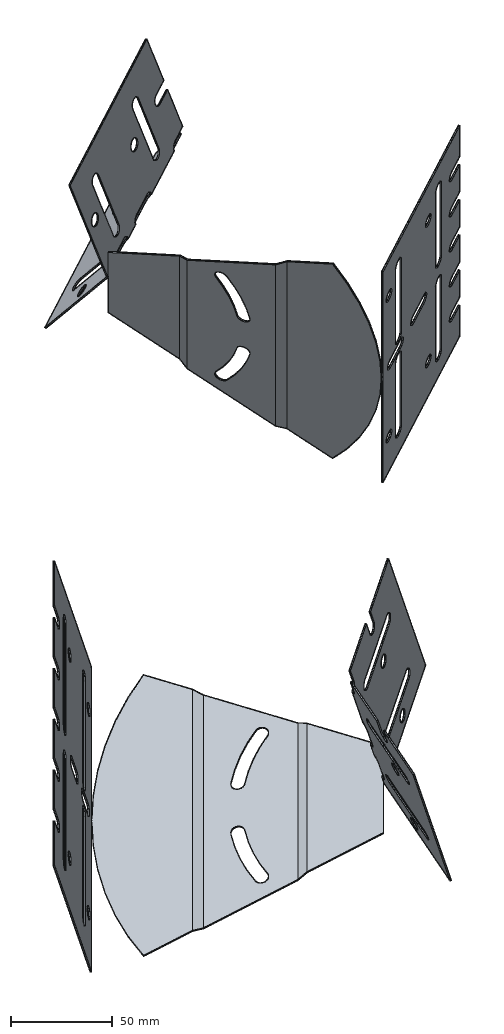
import cadquery as cq
import math


sheet = 0.8
plate_width = 95.7
overall_length = 181.0

hole_diameter = 7.0
column_pitch = 50.0
long_slot_y = 19.4
hole_ys = (7.6, 56.6)
notch_depth = 12.8
cross_slot_length = 19.9
cross_slot_ys = (15.5, 44.7)

plate_height = 180.0
plate_row_pitch = 30.0
plate_notch_rows = 2
plate_long_slot = 70.0
plate_long_slot_offset = 40.0

fold_z = 2.9
wing_length = 70.2
upper_lean = 16.7
lower_lean = 28.1
wing_hole_offset = 35.1
wing_long_slot = 45.0
wing_long_slot_offset = 32.5

fan_z = -1.0
fan_x = 34.0
fan_inner_half = 25.7
fan_rim_half = 83.0
fan_rim_radius = 146.0
fan_slot_radius = 74.7
fan_slot_angles = (11.2, 34.6)
joggle_starts = (72.2, 124.5)
joggle_run = 5.0
fan_flange_front = -0.2
fan_middle_front = -2.5


def slot_cutter(length, y, height, along_height):
    """Round-ended cutter through a sheet lying in the YZ plane at X = 0."""
    angle = 90 if along_height else 0
    return (
        cq.Workplane("YZ").center(y, height)
        .slot2D(length, hole_diameter, angle).extrude(sheet, both=True)
    )


def notch_cutter(height):
    """Rounded notch that opens at the rear edge."""
    return slot_cutter(2 * notch_depth, plate_width, height, False)


def hole_cutters(height):
    """Pair of round holes at one height."""
    return (
        cq.Workplane("YZ").pushPoints([(y, height) for y in hole_ys])
        .circle(hole_diameter / 2).extrude(sheet, both=True)
    )


def long_slot_cutters(length, height):
    """The pair of slots that run up the sheet."""
    first = slot_cutter(length, long_slot_y, height, True)
    return first.add(first.translate((0, column_pitch, 0))).combine()


def cross_row_cutters():
    """Row of cross slots and a notch at height zero."""
    row = notch_cutter(0)
    for y in cross_slot_ys:
        row = row.union(slot_cutter(cross_slot_length, y, 0, False))
    return row


def make_backing_plate():
    plate = cq.Workplane("XY").box(sheet, plate_width, plate_height, centered=(True, False, True))
    plate = plate.cut(cross_row_cutters())
    for side in (-1, 1):
        plate = plate.cut(long_slot_cutters(plate_long_slot, side * plate_long_slot_offset))
        plate = plate.cut(hole_cutters(side * plate_notch_rows * plate_row_pitch))
        for row in range(1, plate_notch_rows + 1):
            plate = plate.cut(notch_cutter(side * row * plate_row_pitch))
    return plate.translate((overall_length - sheet / 2, 0, 0))


def folded_strip():
    """V-shaped sheet with its fold at the origin, without perforations."""
    up = math.radians(90 + upper_lean)
    down = math.radians(270 - lower_lean)
    middle = (up + down) / 2
    corner = sheet / 2 / math.sin((down - up) / 2)

    def tip(angle, turn):
        """End corner of the wing at this angle, on the face that the turn in degrees points to."""
        across = angle + math.radians(turn)
        return (
            wing_length * math.cos(angle) + sheet / 2 * math.cos(across),
            wing_length * math.sin(angle) + sheet / 2 * math.sin(across),
        )

    def fold(side):
        """Outer (-1) or inner (+1) corner of the fold."""
        return (side * corner * math.cos(middle), side * corner * math.sin(middle))

    outline = [tip(up, -90), tip(up, 90), fold(1), tip(down, -90), tip(down, 90), fold(-1)]
    return cq.Workplane("XZ").polyline(outline).close().extrude(-plate_width)


def wing_cutters(side):
    """Perforations of one upright wing, above (+1) or below (-1) the fold."""
    return (
        cross_row_cutters()
        .union(long_slot_cutters(wing_long_slot, side * wing_long_slot_offset))
        .union(hole_cutters(side * wing_hole_offset))
        .union(notch_cutter(side * wing_hole_offset))
    )


def make_hinge():
    hinge = folded_strip()
    for side, turn in ((1, -upper_lean), (-1, lower_lean)):
        hinge = hinge.cut(wing_cutters(side).rotate((0, 0, 0), (0, 1, 0), turn))
    lean = math.radians(lower_lean)
    fold_x = wing_length * math.sin(lean) + sheet / 2 * math.cos(lean)
    return hinge.translate((fold_x, 0, fold_z))


def fan_outline():
    """Fan-shaped block: straight inner edge, two sloping sides and an arc rim."""
    rim_corner_x = math.sqrt(fan_rim_radius**2 - fan_rim_half**2)
    return (
        cq.Workplane("XZ").moveTo(0, -fan_inner_half)
        .lineTo(rim_corner_x, -fan_rim_half)
        .threePointArc((fan_rim_radius, 0), (rim_corner_x, fan_rim_half))
        .lineTo(0, fan_inner_half).close()
        .extrude(plate_width, both=True)
        .translate((fan_x, 0, fan_z))
    )


def joggled_sheet():
    """Sheet whose middle zone is stepped toward the front."""
    first, second = joggle_starts
    front = [
        (0, fan_flange_front),
        (first, fan_flange_front),
        (first + joggle_run, fan_middle_front),
        (second, fan_middle_front),
        (second + joggle_run, fan_flange_front),
        (overall_length, fan_flange_front),
    ]
    back = [(x, y + sheet) for x, y in reversed(front)]
    return cq.Workplane("XY").polyline(front + back).close().extrude(plate_height, both=True)


def arc_slot_cutter():
    """Arc slot above the fan's symmetry plane, centred on the rim's centre."""
    start, end = (math.radians(angle) for angle in fan_slot_angles)
    half_width = hole_diameter / 2

    def at(radius, angle):
        """Point at this radius and angle from the arc centre."""
        return (radius * math.cos(angle), radius * math.sin(angle))

    inner = fan_slot_radius - half_width
    outer = fan_slot_radius + half_width
    middle = (start + end) / 2
    end_bulge = half_width / fan_slot_radius
    return (
        cq.Workplane("XZ").moveTo(*at(inner, start))
        .threePointArc(at(inner, middle), at(inner, end))
        .threePointArc(at(fan_slot_radius, end + end_bulge), at(outer, end))
        .threePointArc(at(outer, middle), at(outer, start))
        .threePointArc(at(fan_slot_radius, start - end_bulge), at(inner, start))
        .close().extrude(plate_width, both=True)
    )


def make_fan():
    fan = joggled_sheet().intersect(fan_outline())
    upper_slot = arc_slot_cutter()
    for slot in (upper_slot, upper_slot.mirror("XY")):
        fan = fan.cut(slot.translate((fan_x, 0, fan_z)))
    return fan


backing_plate = make_backing_plate()
hinge = make_hinge()
fan = make_fan()
result = cq.Compound.makeCompound([part.solids().val() for part in (backing_plate, hinge, fan)])